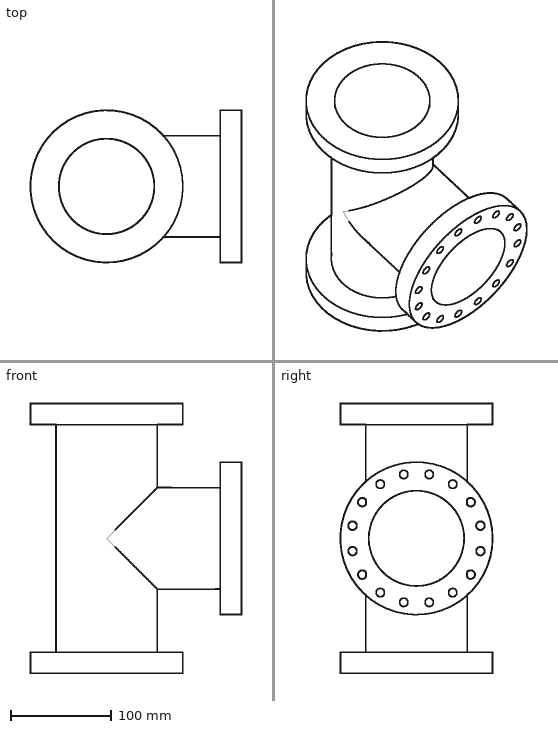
import cadquery as cq

run_length = 269.8
flange_diameter = 152.5
flange_thickness = 21.3
pipe_diameter = 101.7
bore_diameter = 95.2
bolt_count = 16
bolt_circle_diameter = 130.3
bolt_hole_diameter = 8.4

half_run = run_length / 2
branch_length = half_run
bolt_pitch_angle = 360 / bolt_count


def cylinder(plane, diameter, length, start=0.0):
    """Cylinder along the plane's normal, beginning at the given distance."""
    return cq.Workplane(plane).workplane(offset=start).circle(diameter / 2).extrude(length)


def run_body():
    """Vertical pipe with a plain flange at each end."""
    pipe = cylinder("XY", pipe_diameter, run_length, -half_run)
    bottom_flange = cylinder("XY", flange_diameter, flange_thickness, -half_run)
    top_flange = cylinder("XY", flange_diameter, flange_thickness, half_run - flange_thickness)
    return pipe.union(bottom_flange).union(top_flange)


def branch_body():
    """Side pipe along +X with a flange at its end."""
    pipe = cylinder("YZ", pipe_diameter, branch_length)
    flange = cylinder("YZ", flange_diameter, flange_thickness, branch_length - flange_thickness)
    return pipe.union(flange)


def branch_bolt_holes():
    """Through holes of the branch flange, straddling the Y and Z axes."""
    return (
        cq.Workplane("YZ")
        .workplane(offset=branch_length - flange_thickness)
        .polarArray(bolt_circle_diameter / 2, bolt_pitch_angle / 2, 360, bolt_count)
        .circle(bolt_hole_diameter / 2)
        .extrude(flange_thickness)
    )


run_bore = cylinder("XY", bore_diameter, run_length, -half_run)
branch_bore = cylinder("YZ", bore_diameter, branch_length)

result = run_body().union(branch_body()).cut(run_bore).cut(branch_bore).cut(branch_bolt_holes())